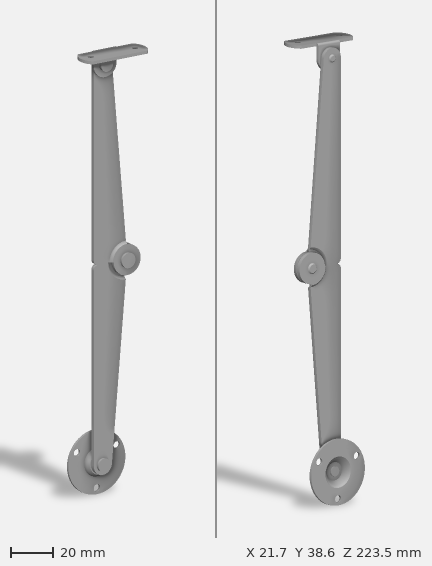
import cadquery as cq
import math


arm_thickness = 2.0
clearance = 0.5
arm_length = 100.0
arm_end_radius = 5.1
elbow_offset = 13.0
elbow_corner_radius = 2.5
ear_radius = 7.5
arm_half = arm_thickness / 2
joggle = (arm_thickness + clearance) / 2
ear_inner = joggle - arm_half
ear_outer = joggle + arm_half
bulge_top_radius = 8.0
recess_floor_radius = 8.7
shoulder_rise = recess_floor_radius + joggle

tip_height = 0.7
end_pin_radius = 2.0
elbow_pin_radius = 2.7
elbow_head_radius = 3.8
elbow_head_height = 1.3

flange_radius = 16.0
flange_thickness = 1.3
cup_depth = 4.0
cup_floor_thickness = 1.1
cup_mouth_radius = 6.7
cup_floor_radius = 4.5
cup_dome_root_radius = 7.2
cup_dome_middle_radius = 6.5
cup_dome_end_radius = 5.5
cup_mouth_chamfer = 1.0
cup_pin_radius = 2.5
cup_head_radius = 3.4
cup_head_height = 1.3
flange_hole_radius = 1.8
flange_hole_circle = 13.0
flange_hole_count = 3

sheet = 1.5
bracket_top = 7.5
bend_radius = 1.1
plate_reach = 13.2
plate_length = 36.2
plate_end_rise = 2.7
tongue_radius = 6.5
plate_hole_radius = 1.5
plate_hole_spacing = 25.0
bracket_head_radius = 3.4
bracket_head_height = 1.8


def x_cylinder(radius, x_start, x_end, y=0.0, z=0.0):
    """Cylinder along X between two stations."""
    return (
        cq.Workplane("YZ", origin=(x_start, y, z))
        .circle(radius)
        .extrude(x_end - x_start)
    )


def x_cone(start_radius, end_radius, x_start, x_end, y, z):
    """Truncated cone along X between two stations."""
    cone = cq.Solid.makeCone(
        start_radius, end_radius, x_end - x_start, cq.Vector(x_start, y, z), cq.Vector(1, 0, 0)
    )
    return cq.Workplane(obj=cone)


def pin_tip(radius, x_face, y, z):
    """Tapered pin end standing out of a face towards -X."""
    return x_cone(radius - tip_height, radius, x_face - tip_height, x_face, y, z)


def arm_outline():
    """Flat outline of the upper arm, tangent to the round at its end pivot."""
    shoulder_drop = arm_length - shoulder_rise
    shoulder_distance = math.hypot(elbow_offset, shoulder_drop)
    tangent_angle = (
        math.atan2(-shoulder_drop, elbow_offset) + math.acos(arm_end_radius / shoulder_distance)
    )
    tangent_y = arm_end_radius * math.cos(tangent_angle)
    tangent_z = arm_length + arm_end_radius * math.sin(tangent_angle)
    return (
        cq.Workplane("YZ", origin=(-arm_half, 0, 0))
        .moveTo(elbow_offset, 0)
        .lineTo(-arm_end_radius + elbow_corner_radius, 0)
        .radiusArc((-arm_end_radius, elbow_corner_radius), elbow_corner_radius)
        .lineTo(-arm_end_radius, arm_length)
        .threePointArc((0, arm_length + arm_end_radius), (tangent_y, tangent_z))
        .lineTo(elbow_offset, shoulder_rise)
        .close()
    )


def make_arm(end_pin_hole_radius):
    """Upper arm: flat blade whose elbow ear is joggled towards +X."""
    blade = arm_outline().extrude(arm_thickness)
    recess = x_cone(
        recess_floor_radius + joggle, recess_floor_radius, -arm_half, ear_inner, elbow_offset, 0
    )
    bulge = x_cone(
        bulge_top_radius + joggle, bulge_top_radius, arm_half, ear_outer, elbow_offset, 0
    )
    bulge = bulge.intersect(arm_outline().extrude(arm_thickness + joggle))
    ear = x_cylinder(ear_radius, ear_inner, ear_outer, elbow_offset)
    elbow_hole = x_cylinder(elbow_pin_radius, -arm_half, ear_outer, elbow_offset)
    end_hole = x_cylinder(end_pin_hole_radius, -arm_half, arm_half, z=arm_length)
    return blade.cut(recess).union(bulge).union(ear).cut(elbow_hole).cut(end_hole)


def make_elbow_pin():
    """Headed pin through both lapped ears."""
    shank = x_cylinder(elbow_pin_radius, -ear_outer, ear_outer, elbow_offset)
    head = x_cylinder(elbow_head_radius, ear_outer, ear_outer + elbow_head_height, elbow_offset)
    return shank.union(head).union(pin_tip(elbow_pin_radius, -ear_outer, elbow_offset, 0))


def make_cup():
    """Round flange with a drawn cup, carrying the lower end pin."""
    arm_side = -arm_half - clearance
    face = arm_side - cup_depth
    floor = arm_side - cup_floor_thickness
    flange_back = face + flange_thickness
    dome_middle = (flange_back + arm_side) / 2
    profile = (
        cq.Workplane("XY")
        .moveTo(floor, 0)
        .lineTo(floor, cup_floor_radius)
        .lineTo(face + cup_mouth_chamfer, cup_mouth_radius)
        .lineTo(face, cup_mouth_radius + cup_mouth_chamfer)
        .lineTo(face, flange_radius)
        .lineTo(flange_back, flange_radius)
        .lineTo(flange_back, cup_dome_root_radius)
        .threePointArc((dome_middle, cup_dome_middle_radius), (arm_side, cup_dome_end_radius))
        .lineTo(arm_side, 0)
        .close()
    )
    cup = profile.revolve(360, (0, 0, 0), (1, 0, 0))
    for index in range(flange_hole_count):
        angle = math.radians(-90 + index * 360 / flange_hole_count)
        cup = cup.cut(
            x_cylinder(
                flange_hole_radius,
                face,
                flange_back,
                flange_hole_circle * math.cos(angle),
                flange_hole_circle * math.sin(angle),
            )
        )
    pin = x_cylinder(cup_pin_radius, floor - tip_height, arm_half)
    head = x_cylinder(cup_head_radius, arm_half, arm_half + cup_head_height)
    return cup.union(pin).union(head).translate((0, 0, -arm_length))


def make_bracket():
    """Angle bracket: drilled plate on top of a round-ended tongue, carrying the upper end pin."""
    arm_side = arm_half + clearance
    inner = arm_side + sheet
    outer_edge = inner + plate_reach
    plate_middle = inner + plate_reach / 2
    half_length = plate_length / 2
    corner = half_length - plate_end_rise
    plate = (
        cq.Workplane("XY", origin=(0, 0, bracket_top - sheet))
        .moveTo(inner, -corner)
        .threePointArc((plate_middle, -half_length), (outer_edge, -corner))
        .lineTo(outer_edge, corner)
        .threePointArc((plate_middle, half_length), (inner, corner))
        .close()
        .extrude(sheet)
    )
    holes = (
        cq.Workplane("XY", origin=(plate_middle, 0, bracket_top - sheet))
        .rarray(2.2, plate_hole_spacing, 1, 2)
        .circle(plate_hole_radius)
        .extrude(sheet)
    )
    tongue = (
        cq.Workplane("YZ", origin=(arm_side, 0, 0))
        .moveTo(-tongue_radius, bracket_top)
        .lineTo(-tongue_radius, 0)
        .threePointArc((0, -tongue_radius), (tongue_radius, 0))
        .lineTo(tongue_radius, bracket_top)
        .close()
        .extrude(sheet)
        .edges("|Y and >Z and <X")
        .fillet(bend_radius)
    )
    pin = x_cylinder(end_pin_radius, -arm_half, inner)
    head = x_cylinder(bracket_head_radius, inner, inner + bracket_head_height)
    tip = pin_tip(end_pin_radius, -arm_half, 0, 0)
    bracket = plate.cut(holes).union(tongue).union(head).union(pin).union(tip)
    return bracket.translate((0, 0, arm_length))


upper_arm = make_arm(end_pin_radius)
lower_arm = make_arm(cup_pin_radius).rotate((0, 0, 0), (0, 1, 0), 180)
elbow_pin = make_elbow_pin()
cup = make_cup()
bracket = make_bracket()

result = cq.Compound.makeCompound(
    [upper_arm.val(), lower_arm.val(), elbow_pin.val(), cup.val(), bracket.val()]
)